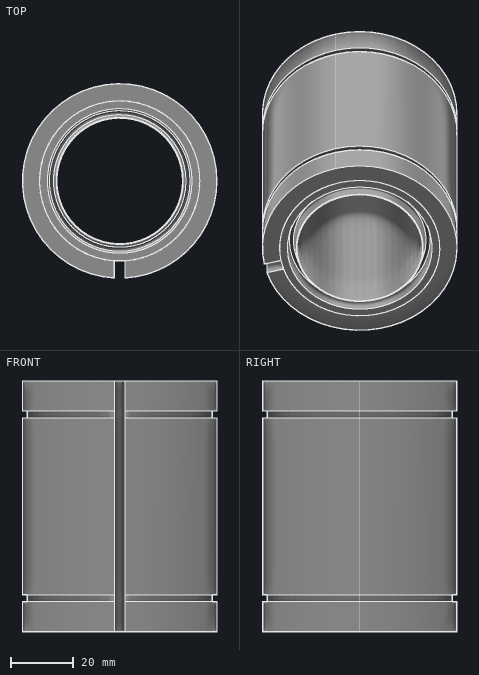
import cadquery as cq

length = 80.0
half_length = length / 2
sleeve_diameter = 62.0
liner_diameter = 51.0
bore_diameter = 40.0

ring_groove_diameter = 59.0
ring_groove_width = 2.2
end_band_width = 9.7

slot_width = 3.4

recess_mouth_radius = 23.0
recess_floor_radius = 22.4
recess_depth = 4.6
lip_root_radius = 21.1
lip_tip_radius = 20.2
lip_setback = 0.2
root_curve_bulge = 0.3


def annulus(outer_diameter, inner_diameter, height):
    """Plain tube centred on the origin, with its axis along Z."""
    return (
        cq.Workplane("XY", origin=(0, 0, -height / 2))
        .circle(outer_diameter / 2)
        .circle(inner_diameter / 2)
        .extrude(height)
    )


def make_sleeve():
    """Outer split sleeve with a retaining-ring groove near each end."""
    sleeve = annulus(sleeve_diameter, liner_diameter, length)
    groove_offset = half_length - end_band_width - ring_groove_width / 2
    for side in (-1, 1):
        groove = annulus(sleeve_diameter, ring_groove_diameter, ring_groove_width)
        sleeve = sleeve.cut(groove.translate((0, 0, side * groove_offset)))

    slot = cq.Workplane("XY").box(
        slot_width, sleeve_diameter / 2, length, centered=(True, False, True)
    )
    return sleeve.cut(slot.translate((0, -sleeve_diameter / 2, 0)))


def make_end_recess():
    """Cutter for the top recess, leaving a tapered lip around the bore."""
    floor_z = half_length - recess_depth
    lip_z = half_length - lip_setback
    curve_middle = (
        (recess_floor_radius + lip_root_radius) / 2,
        floor_z - root_curve_bulge,
    )
    return (
        cq.Workplane("XZ")
        .moveTo(bore_diameter / 2, half_length)
        .lineTo(recess_mouth_radius, half_length)
        .lineTo(recess_floor_radius, floor_z)
        .threePointArc(curve_middle, (lip_root_radius, floor_z))
        .lineTo(lip_tip_radius, lip_z)
        .lineTo(bore_diameter / 2, lip_z)
        .close()
        .revolve(360, (0, 0, 0), (0, 1, 0))
    )


def make_liner():
    """Inner tube with the same lipped recess at both ends."""
    recess = make_end_recess()
    liner = annulus(liner_diameter, bore_diameter, length)
    return liner.cut(recess).cut(recess.mirror("XY"))


sleeve = make_sleeve()
liner = make_liner()
result = cq.Compound.makeCompound([sleeve.val(), liner.val()])